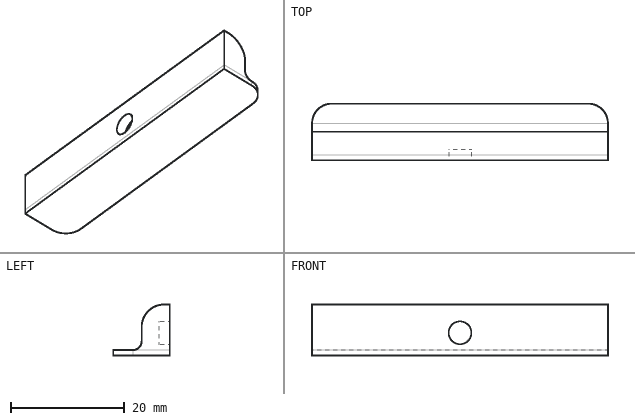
import cadquery as cq

length = 52.0
depth = 10.0
height = 9.0

plate_thickness = 1.0
wall_thickness = 5.0
wall_top_radius = 4.0
root_fillet_radius = 1.5
plate_corner_radius = depth - wall_thickness - root_fillet_radius

hole_diameter = 4.0
hole_height = 4.0
hole_depth = 2.0


def make_plate():
    """Flat base with its two rear corners rounded."""
    plate = cq.Workplane("XY").box(length, depth, plate_thickness, centered=(True, False, False))
    return plate.edges("|Z and >Y").fillet(plate_corner_radius)


def make_wall():
    """Upright wall with a rounded rear top edge and a concave root fillet."""
    arc_offset = 0.5 ** 0.5
    fillet_end_y = wall_thickness + root_fillet_radius
    fillet_top_z = plate_thickness + root_fillet_radius
    round_center_y = wall_thickness - wall_top_radius
    round_center_z = height - wall_top_radius
    fillet_middle = (
        fillet_end_y - root_fillet_radius * arc_offset,
        fillet_top_z - root_fillet_radius * arc_offset,
    )
    round_middle = (
        round_center_y + wall_top_radius * arc_offset,
        round_center_z + wall_top_radius * arc_offset,
    )
    return (
        cq.Workplane("YZ")
        .moveTo(0, plate_thickness)
        .lineTo(fillet_end_y, plate_thickness)
        .threePointArc(fillet_middle, (wall_thickness, fillet_top_z))
        .lineTo(wall_thickness, round_center_z)
        .threePointArc(round_middle, (round_center_y, height))
        .lineTo(0, height)
        .close()
        .extrude(length / 2, both=True)
    )


def make_hole():
    """Cylinder entering the wall from its front face."""
    front_face = cq.Workplane("XZ").center(0, hole_height)
    return front_face.circle(hole_diameter / 2).extrude(-hole_depth)


body = make_plate().union(make_wall(), clean=False)
result = body.cut(make_hole(), clean=False)